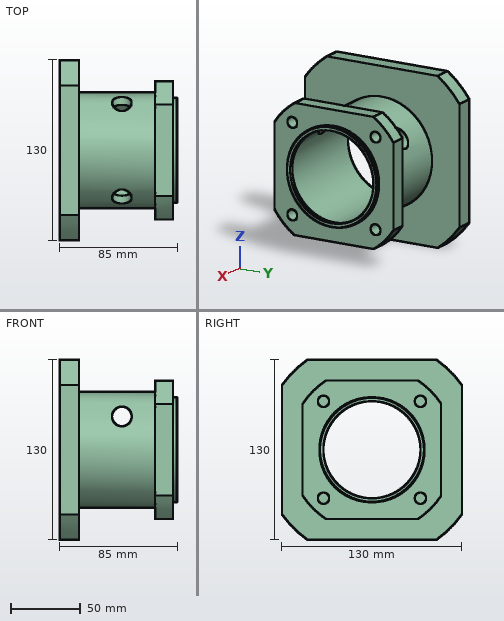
import cadquery as cq

large_flange_thickness = 14.0
small_flange_start = 69.0
small_flange_end = 81.9
overall_length = 85.0

large_flange_width = 130.0
large_corner_diameter = 160.0
small_flange_width = 100.0
small_corner_diameter = 120.0

barrel_diameter = 84.0
spigot_diameter = 76.0
spigot_chamfer = 0.5
main_bore_diameter = 74.0
end_bore_diameter = 70.0
bore_step_position = small_flange_end

cross_hole_diameter = 14.0
cross_hole_x = 45.0
cross_hole_z = 24.0
bolt_hole_diameter = 8.2
bolt_hole_spacing = 70.0


def cylinder(start, end, diameter):
    """Cylinder along X between two positions."""
    return cq.Workplane("YZ", origin=(start, 0, 0)).circle(diameter / 2).extrude(end - start)


def flange(start, end, width, corner_diameter):
    """Square plate with its corners rounded by a concentric circle."""
    plate = cq.Workplane("YZ", origin=(start, 0, 0)).rect(width, width).extrude(end - start)
    return plate.intersect(cylinder(start, end, corner_diameter))


large_flange = flange(0, large_flange_thickness, large_flange_width, large_corner_diameter)
small_flange = flange(small_flange_start, small_flange_end, small_flange_width, small_corner_diameter)
barrel = cylinder(0, small_flange_end, barrel_diameter)
spigot = cylinder(0, overall_length, spigot_diameter).faces(">X").edges().chamfer(spigot_chamfer)

main_bore = cylinder(0, bore_step_position, main_bore_diameter)
end_bore = cylinder(0, overall_length, end_bore_diameter)

cross_hole = (
    cq.Workplane("XZ", origin=(cross_hole_x, 0, cross_hole_z))
    .circle(cross_hole_diameter / 2)
    .extrude(barrel_diameter / 2, both=True)
)

bolt_holes = (
    cq.Workplane("YZ", origin=(small_flange_start, 0, 0))
    .rect(bolt_hole_spacing, bolt_hole_spacing, forConstruction=True)
    .vertices()
    .circle(bolt_hole_diameter / 2)
    .extrude(small_flange_end - small_flange_start)
)

body = large_flange.union(small_flange).union(barrel).union(spigot)
result = body.cut(main_bore).cut(end_bore).cut(cross_hole).cut(bolt_holes)